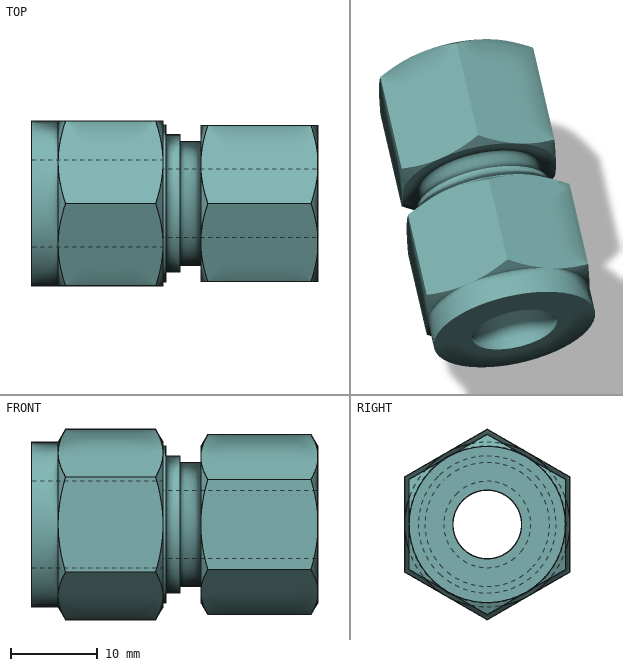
import cadquery as cq
import math


collar_end = 3.07
nut_end = 15.15
flange_end = 15.48
shoulder_end = 17.13
body_hex_start = 19.5
total_length = 33.0

nut_across_flats = 19.0
body_across_flats = 18.0
corner_chamfer_angle = 30.0
hex_sides = 6
envelope_clearance = 1.1

collar_diameter = nut_across_flats
flange_diameter = 18.12
shoulder_diameter = 15.85
neck_diameter = 14.32

tube_diameter = 10.0
tube_depth = nut_end
through_diameter = 7.9


def cylinder(diameter, start, end):
    """Round section along X between two stations."""
    return cq.Workplane("YZ", origin=(start, 0, 0)).circle(diameter / 2).extrude(end - start)


def chamfered_hex(across_flats, start, end):
    """Hexagon along X whose corners are turned down to the flats at both ends."""
    flat_radius = across_flats / 2
    corner_radius = flat_radius / math.cos(math.pi / hex_sides)
    prism = (
        cq.Workplane("YZ", origin=(start, 0, 0))
        .transformed(rotate=(0, 0, 90))
        .polygon(hex_sides, 2 * corner_radius)
        .extrude(end - start)
    )
    envelope_radius = envelope_clearance * corner_radius
    cone_length = (envelope_radius - flat_radius) * math.tan(math.radians(corner_chamfer_angle))
    envelope = (
        cq.Workplane("XY")
        .moveTo(start, 0)
        .lineTo(start, flat_radius)
        .lineTo(start + cone_length, envelope_radius)
        .lineTo(end - cone_length, envelope_radius)
        .lineTo(end, flat_radius)
        .lineTo(end, 0)
        .close()
        .revolve(360, (0, 0, 0), (1, 0, 0))
    )
    return prism.intersect(envelope)


result = cylinder(collar_diameter, 0, collar_end)
result = result.union(chamfered_hex(nut_across_flats, collar_end, nut_end))

result = result.union(cylinder(flange_diameter, nut_end, flange_end))
result = result.union(cylinder(shoulder_diameter, flange_end, shoulder_end))
result = result.union(cylinder(neck_diameter, shoulder_end, body_hex_start))

result = result.union(chamfered_hex(body_across_flats, body_hex_start, total_length))

result = result.cut(cylinder(tube_diameter, 0, tube_depth))
result = result.cut(cylinder(through_diameter, 0, total_length))